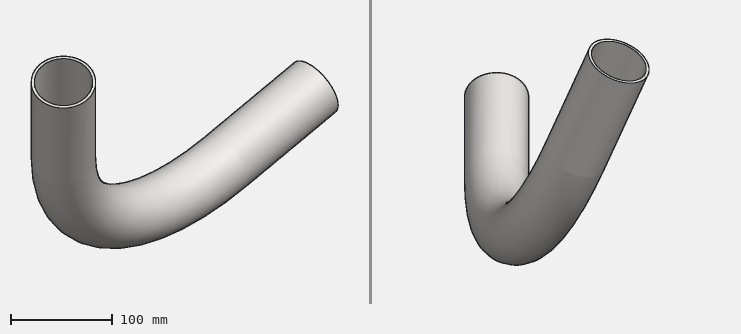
import cadquery as cq

overall_length = 387.5
outer_diameter = 63.5
inner_diameter = 57.5
straight_length = 126.5

bend_radius = overall_length - outer_diameter / 2 - straight_length


def bent_rod(diameter):
    """Solid round rod: upright leg, quarter bend, then a leg along +Y.

    The origin is where the two leg axes cross.
    """
    radius = diameter / 2
    upright_leg = (
        cq.Workplane("XY", origin=(0, 0, bend_radius))
        .circle(radius)
        .extrude(straight_length)
    )
    level_leg = (
        cq.Workplane("XZ", origin=(0, bend_radius, 0))
        .circle(radius)
        .extrude(-straight_length)
    )
    bend = (
        cq.Workplane("XY", origin=(0, 0, bend_radius))
        .circle(radius)
        .revolve(90, (0, bend_radius, 0), (1, bend_radius, 0))
    )
    return upright_leg.union(bend).union(level_leg)


result = bent_rod(outer_diameter).cut(bent_rod(inner_diameter))